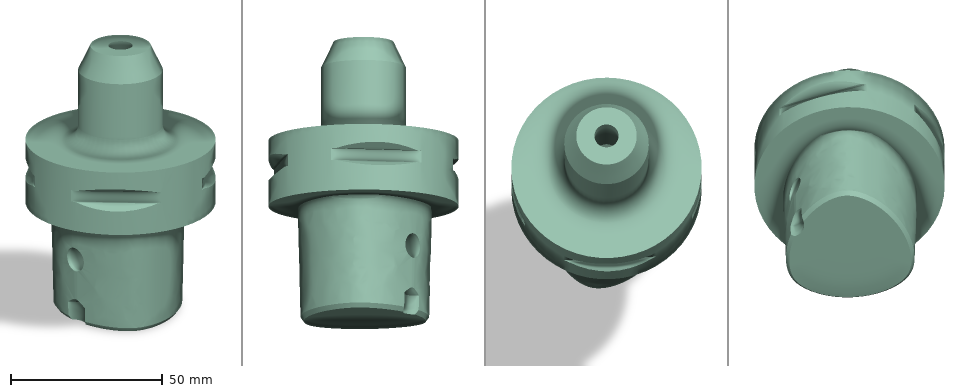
import cadquery as cq
import math

total_height = 93.0
flange_bottom = 37.85
flange_top = 59.9

flange_radius = 63.0 / 2
nose_radius = 14.0
nose_tip_radius = 10.0
nose_cone_height = 8.5
nose_fillet = 5.0
bore_diameter = 8.0
bore_depth = 20.5

groove_floor_distance = 27.6
groove_floor_height = 4.0
groove_mouth_height = 7.8
groove_ledge_width = 0.8
groove_center_height = 50.0

shank_radius = 22.1
lobe_rise = 1.4
shank_taper = 0.8
collar_height = 2.9
shank_chamfer = 1.5
chamfer_inset = 1.1
profile_points = 48
relief_radius = 22.3
relief_straight_height = 0.5
relief_fillet = 0.65
relief_height = 1.9

side_hole_radius = 4.1
side_hole_center_height = 22.5
side_hole_straight_depth = 8.4
side_hole_cone_depth = 2.4
notch_radius = 4.65
notch_axis_distance = 21.95
notch_straight_height = 6.3
notch_cone_height = 3.5


def lobed_wire(mean_radius, height):
    """Closed curve of constant width, with one lobe toward +Y."""
    points = []
    for i in range(profile_points):
        angle = 2 * math.pi * i / profile_points
        lobe_phase = 3 * (angle - math.pi / 2)
        support = mean_radius + lobe_rise * math.cos(lobe_phase)
        slope = -3 * lobe_rise * math.sin(lobe_phase)
        x = support * math.cos(angle) - slope * math.sin(angle)
        y = support * math.sin(angle) + slope * math.cos(angle)
        points.append(cq.Vector(x, y, height))
    return cq.Wire.assembleEdges([cq.Edge.makeSpline(points, periodic=True)])


def lobed_section(bottom_radius, bottom, top_radius, top):
    """Solid between two lobed curves."""
    wires = [lobed_wire(bottom_radius, bottom), lobed_wire(top_radius, top)]
    return cq.Workplane(obj=cq.Solid.makeLoft(wires, True))


def make_shank():
    collar_bottom = flange_bottom - collar_height
    end_radius = shank_radius - shank_taper
    chamfer = lobed_section(end_radius - chamfer_inset, 0, end_radius, shank_chamfer)
    taper = lobed_section(end_radius, shank_chamfer, shank_radius, collar_bottom)
    collar = lobed_section(shank_radius, collar_bottom, shank_radius, flange_bottom)
    return chamfer.union(taper).union(collar)


def make_relief():
    """Ring that trims the lobes just below the flange."""
    fillet_start = flange_bottom - relief_straight_height
    slope_angle = math.radians(45)
    mid_angle = slope_angle / 2
    fillet_mid_radius = relief_radius + relief_fillet * (1 - math.cos(mid_angle))
    fillet_mid_height = fillet_start - relief_fillet * math.sin(mid_angle)
    slope_start_radius = relief_radius + relief_fillet * (1 - math.cos(slope_angle))
    slope_start_height = fillet_start - relief_fillet * math.sin(slope_angle)
    slope_rise = slope_start_height - (flange_bottom - relief_height)
    slope_end_radius = slope_start_radius + slope_rise / math.tan(slope_angle)
    return (
        cq.Workplane("XZ")
        .moveTo(relief_radius, flange_bottom)
        .lineTo(relief_radius, fillet_start)
        .threePointArc(
            (fillet_mid_radius, fillet_mid_height),
            (slope_start_radius, slope_start_height),
        )
        .lineTo(slope_end_radius, flange_bottom - relief_height)
        .lineTo(flange_radius, flange_bottom - relief_height)
        .lineTo(flange_radius, flange_bottom)
        .close()
        .revolve(360, (0, 0, 0), (0, 1, 0))
    )


def make_flange_and_nose():
    fillet_top = flange_top + nose_fillet
    fillet_offset = nose_fillet * (1 - math.sqrt(0.5))
    return (
        cq.Workplane("XZ")
        .moveTo(0, flange_bottom)
        .lineTo(flange_radius, flange_bottom)
        .lineTo(flange_radius, flange_top)
        .lineTo(nose_radius + nose_fillet, flange_top)
        .threePointArc(
            (nose_radius + fillet_offset, flange_top + fillet_offset),
            (nose_radius, fillet_top),
        )
        .lineTo(nose_radius, total_height - nose_cone_height)
        .lineTo(nose_tip_radius, total_height)
        .lineTo(0, total_height)
        .close()
        .revolve(360, (0, 0, 0), (0, 1, 0))
    )


def make_gripper_groove(angle):
    """Straight groove with a flat floor and straight ledges that lead into sloping sides."""
    ledge_end = groove_floor_distance + groove_ledge_width
    half_floor = groove_floor_height / 2
    half_mouth = groove_mouth_height / 2
    return (
        cq.Workplane("XZ")
        .moveTo(groove_floor_distance, groove_center_height - half_floor)
        .lineTo(ledge_end, groove_center_height - half_floor)
        .lineTo(flange_radius, groove_center_height - half_mouth)
        .lineTo(flange_radius, groove_center_height + half_mouth)
        .lineTo(ledge_end, groove_center_height + half_floor)
        .lineTo(groove_floor_distance, groove_center_height + half_floor)
        .close()
        .extrude(flange_radius, both=True)
        .rotate((0, 0, 0), (0, 0, 1), angle)
    )


def make_drill(radius, straight_length, cone_length):
    """Pointed drill shape that starts at the origin and points along +Z."""
    return (
        cq.Workplane("XZ")
        .lineTo(radius, 0)
        .lineTo(radius, straight_length)
        .lineTo(0, straight_length + cone_length)
        .close()
        .revolve(360, (0, 0, 0), (0, 1, 0))
    )


def make_side_hole():
    flat_side = shank_radius - lobe_rise
    return (
        make_drill(side_hole_radius, side_hole_straight_depth, side_hole_cone_depth)
        .rotate((0, 0, 0), (1, 0, 0), -90)
        .translate((0, -flat_side, side_hole_center_height))
    )


def make_notch():
    drill = make_drill(notch_radius, notch_straight_height, notch_cone_height)
    return drill.translate((0, -notch_axis_distance, 0))


shank = make_shank().cut(make_relief()).cut(make_side_hole()).cut(make_notch())
result = make_flange_and_nose().union(shank)
for groove_angle in (45, 135, 225, 315):
    result = result.cut(make_gripper_groove(groove_angle))
result = result.faces(">Z").workplane().hole(bore_diameter, bore_depth)